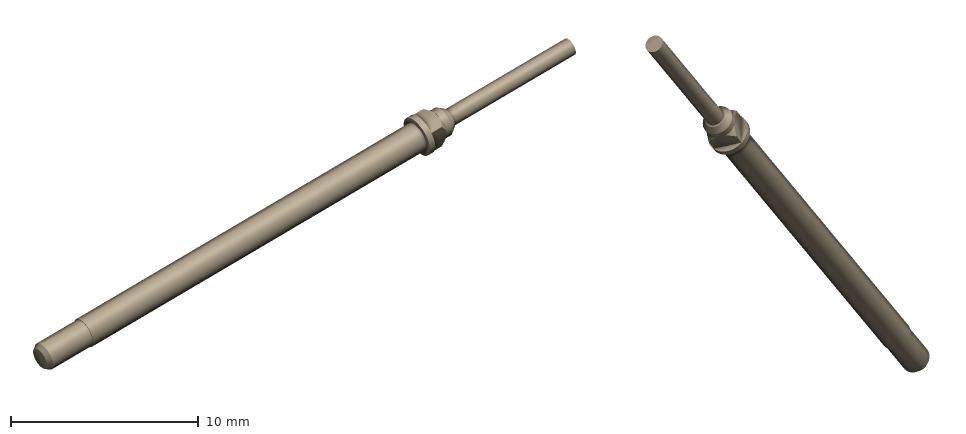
import cadquery as cq


total_length = 35.8
tail_length = 8.25
neck_cone_length = 0.35
collar_length = 0.4
square_length = 1.0
flange_thickness = 0.35
tip_length = 2.95
tip_chamfer_length = 0.27

tail_diameter = 1.0
neck_diameter = 1.2
body_diameter = 1.7
square_width = 1.61
square_corner_diameter = 2.25
square_cone_length = 0.3
flange_diameter = 2.3
tip_diameter = 1.6
tip_end_diameter = 1.22

flange_front_y = 0.0
flange_back_y = flange_front_y + flange_thickness
square_end_y = flange_back_y + square_length
collar_end_y = square_end_y + collar_length
neck_end_y = collar_end_y + neck_cone_length
tail_end_y = neck_end_y + tail_length
tip_end_y = tail_end_y - total_length
tip_back_y = tip_end_y + tip_length


def cone(start_y, end_y, start_diameter, end_diameter):
    """Solid cone frustum about the Y axis."""
    return (
        cq.Workplane("XY")
        .moveTo(0, start_y)
        .lineTo(start_diameter / 2, start_y)
        .lineTo(end_diameter / 2, end_y)
        .lineTo(0, end_y)
        .close()
        .revolve(360, (0, 0, 0), (0, 1, 0))
    )


def cylinder(start_y, end_y, diameter):
    """Solid cylinder about the Y axis."""
    return cone(start_y, end_y, diameter, diameter)


def tip():
    """Contact tip, slightly thinner than the body, with a chamfered end."""
    chamfer_back_y = tip_end_y + tip_chamfer_length
    chamfer = cone(tip_end_y, chamfer_back_y, tip_end_diameter, tip_diameter)
    return chamfer.union(cylinder(chamfer_back_y, tip_back_y, tip_diameter))


def square_section():
    """Square behind the flange, its corners coned down to the round collar."""
    block = cq.Workplane("XY").box(square_width, square_length, square_width)
    block = block.translate((0, (flange_back_y + square_end_y) / 2, 0))
    cone_start_y = square_end_y - square_cone_length
    envelope = cylinder(flange_back_y, cone_start_y, square_corner_diameter)
    envelope = envelope.union(
        cone(cone_start_y, square_end_y, square_corner_diameter, body_diameter)
    )
    return block.intersect(envelope)


def collar_and_neck():
    """Round collar tapering to the shoulder at the root of the tail."""
    collar = cylinder(square_end_y, collar_end_y, body_diameter)
    return collar.union(cone(collar_end_y, neck_end_y, body_diameter, neck_diameter))


body = cylinder(tip_back_y, flange_front_y, body_diameter)
flange = cylinder(flange_front_y, flange_back_y, flange_diameter)
tail = cylinder(neck_end_y, tail_end_y, tail_diameter)

result = (
    body.union(tip())
    .union(flange)
    .union(square_section())
    .union(collar_and_neck())
    .union(tail)
)